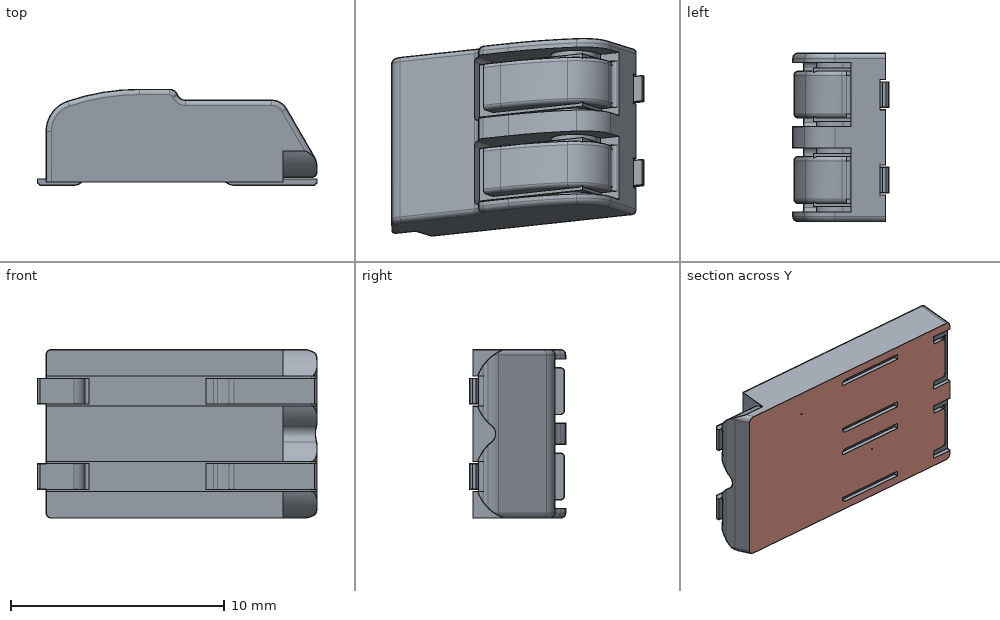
import cadquery as cq
import math


housing_height = 7.9
housing_left = -6.15
housing_right = 6.55
hump_top = 4.35
shoulder_top = 3.84
hump_flat_start = -1.76
front_radius = 1.5
crown_radius = 10.5
slope_angle = math.radians(60)
step_angle = math.radians(65)
step_x = -0.11
step_radius = 0.4
shoulder_corner_x = 4.89
shoulder_radius = 0.8
toe_radius = 1.0
edge_fillet = 0.25

nose_start = 4.96
nose_bottom = 0.22
nose_fillet = 0.25
lobe_radius = 2.08
lobe_bottom = 0.1
valley_radius = 0.48

cell_pitch = 4.0
cell_centres = (-cell_pitch / 2, cell_pitch / 2)

pocket_width = 3.0
pocket_floor = 1.62
pocket_end = 0.38
pocket_fillet = 0.2

lever_width = 2.2
lever_front = -5.85
lever_end = -0.36
lever_top = 4.29
lever_front_radius = 1.8
lever_flat_start = -1.3
lever_fillet = 0.2
hub_radius = 2.25 / 2
hub_centre = (-4.05, 2.115)
hub_foot_top = 1.99
core_width = 2.5
core_front = -5.2
core_top = 3.37

groove_width = 1.4
groove_depth = 0.25
terminal_width = 1.2
terminal_thickness = 0.3
pad_bottom = -0.15
terminal_half_length = 6.55
terminal_chamfer = 0.12
strap_bottom = groove_depth - 0.01
left_pad_end = -4.85
left_ramp_end = -4.33
left_strap_end = -4.14
right_strap_start = 1.34
right_strap_end = 1.71
right_ramp_start = 1.88
right_pad_start = 2.66
right_ramp_angle = math.radians(28)


def box(x_range, y_range, height, z_centre=0.0):
    """Box between two X and two Y limits, centred on z_centre."""
    length = x_range[1] - x_range[0]
    depth = y_range[1] - y_range[0]
    centre = (sum(x_range) / 2, sum(y_range) / 2, z_centre)
    return cq.Workplane("XY").box(length, depth, height).translate(centre)


def crowned_outline(bottom, front, top, corner_radius, flat_start):
    """Open outline: front wall, corner arc and a large crown arc, all tangent, ending on the flat top."""
    corner_x = front + corner_radius
    crown_y = top - crown_radius
    run = flat_start - corner_x
    reach = crown_radius - corner_radius
    corner_y = crown_y + math.sqrt(reach**2 - run**2)
    joint_angle = math.atan2(corner_y - crown_y, -run)
    joint = (
        flat_start + crown_radius * math.cos(joint_angle),
        crown_y + crown_radius * math.sin(joint_angle),
    )
    return (
        cq.Workplane("XY")
        .moveTo(front, bottom)
        .lineTo(front, corner_y)
        .radiusArc(joint, corner_radius)
        .radiusArc((flat_start, top), crown_radius)
    )


def round_upright(body, x, y, radius):
    """Fillet the edge along Z that passes nearest to (x, y)."""
    edge = body.edges("|Z").edges(cq.selectors.NearestToPointSelector((x, y, 0)))
    return edge.fillet(radius)


def make_housing():
    """Solid housing with all outline corners and both outer rims rounded."""
    step_end_x = step_x + (hump_top - shoulder_top) / math.tan(step_angle)
    toe_y = shoulder_top - (housing_right - shoulder_corner_x) * math.tan(slope_angle)
    outline = (
        crowned_outline(0, housing_left, hump_top, front_radius, hump_flat_start)
        .lineTo(step_x, hump_top)
        .lineTo(step_end_x, shoulder_top)
        .lineTo(shoulder_corner_x, shoulder_top)
        .lineTo(housing_right, toe_y)
        .lineTo(housing_right, nose_bottom)
        .lineTo(nose_start, nose_bottom)
        .lineTo(nose_start, 0)
        .close()
    )
    body = outline.extrude(housing_height / 2, both=True)
    body = round_upright(body, step_x, hump_top, step_radius)
    body = round_upright(body, step_end_x, shoulder_top, step_radius)
    body = round_upright(body, shoulder_corner_x, shoulder_top, shoulder_radius)
    body = round_upright(body, housing_right, toe_y, toe_radius)
    body = round_upright(body, housing_right, nose_bottom, nose_fillet)
    flat_middle = ((hump_flat_start + step_x) / 2, hump_top)
    for z in (-housing_height / 2, housing_height / 2):
        rim = cq.selectors.NearestToPointSelector((*flat_middle, z))
        body = body.edges(rim).fillet(edge_fillet)
    return body


def make_nose_cutter():
    """Space below the nose: two convex lobes joined by a concave valley, seen along X."""
    half = housing_height / 2
    lobe_z = cell_pitch / 2
    lobe_y = lobe_bottom + lobe_radius
    reach = lobe_radius + valley_radius
    valley_y = lobe_y - math.sqrt(reach**2 - lobe_z**2)
    joint_z = lobe_z * valley_radius / reach
    joint_y = valley_y + (lobe_y - valley_y) * valley_radius / reach
    rim_y = lobe_y - math.sqrt(lobe_radius**2 - (half - lobe_z) ** 2)
    clear_y = -1.0
    return (
        cq.Workplane("YZ", origin=(nose_start, 0, 0))
        .moveTo(clear_y, -half)
        .lineTo(rim_y, -half)
        .threePointArc((lobe_bottom, -lobe_z), (joint_y, -joint_z))
        .threePointArc((valley_y + valley_radius, 0), (joint_y, joint_z))
        .threePointArc((lobe_bottom, lobe_z), (rim_y, half))
        .lineTo(clear_y, half)
        .close()
        .extrude(housing_right - nose_start)
    )


def make_pocket(z):
    """Lever pocket, open to the front and the top, with rounded corners at its far end."""
    pocket = box((housing_left, pocket_end), (pocket_floor, hump_top), pocket_width, z)
    return pocket.edges(">X and |Y").fillet(pocket_fillet)


def make_lever(z):
    """Rounded lever with its core and the pivot hub, standing on the pocket floor."""
    lever = (
        crowned_outline(pocket_floor, lever_front, lever_top, lever_front_radius, lever_flat_start)
        .lineTo(lever_end, lever_top)
        .lineTo(lever_end, pocket_floor)
        .close()
        .extrude(lever_width / 2, both=True)
    )
    foot = (
        cq.Workplane("XY")
        .moveTo(lever_front - lever_fillet, pocket_floor)
        .radiusArc((lever_front, pocket_floor + lever_fillet), -lever_fillet)
        .lineTo(lever_front, pocket_floor)
        .close()
        .extrude(lever_width / 2, both=True)
    )
    for side in (-lever_width / 2, lever_width / 2):
        rim = cq.selectors.NearestToPointSelector((lever_flat_start, lever_top, side))
        lever = lever.edges(rim).fillet(lever_fillet)
    lever = lever.union(foot).translate((0, 0, z))
    core = box((core_front, pocket_end), (pocket_floor, core_top), core_width, z)
    hub = cq.Workplane("XY").center(*hub_centre).circle(hub_radius).extrude(pocket_width / 2, both=True)
    foot_half = math.sqrt(hub_radius**2 - (hub_centre[1] - hub_foot_top) ** 2)
    hub_x = (hub_centre[0] - foot_half, hub_centre[0] + foot_half)
    hub_foot = box(hub_x, (pocket_floor, hub_foot_top), pocket_width, z)
    return lever.union(core).union(hub.translate((0, 0, z))).union(hub_foot)


def make_groove(z):
    """Groove along the mounting face that takes the terminal, flared where it leaves the nose."""
    return (
        cq.Workplane("XY")
        .moveTo(housing_left, pad_bottom)
        .lineTo(housing_left, groove_depth)
        .lineTo(housing_right - nose_fillet, groove_depth)
        .radiusArc((housing_right, groove_depth + nose_fillet), -nose_fillet)
        .lineTo(housing_right, pad_bottom)
        .close()
        .extrude(groove_width / 2, both=True)
        .translate((0, 0, z))
    )


def make_terminal(z):
    """Flat strip whose two pads hang below the housing and ramp up into the groove floor."""
    pad_top = pad_bottom + terminal_thickness
    strap_top = strap_bottom + terminal_thickness
    end = terminal_half_length
    left_run = left_ramp_end - left_pad_end
    left_rise = strap_bottom - pad_bottom
    left_bend_radius = (left_run**2 + left_rise**2) / (2 * left_rise)
    inner_bend_radius = (right_ramp_start - right_strap_end) / math.sin(right_ramp_angle)
    ramp_start_y = strap_bottom - inner_bend_radius * (1 - math.cos(right_ramp_angle))
    crease_x = right_ramp_start + (ramp_start_y - pad_bottom) / math.tan(right_ramp_angle)
    bend_tangent = right_pad_start - crease_x
    outer_bend_radius = bend_tangent / math.tan(right_ramp_angle / 2)
    ramp_end = (
        crease_x - bend_tangent * math.cos(right_ramp_angle),
        pad_bottom + bend_tangent * math.sin(right_ramp_angle),
    )
    return (
        cq.Workplane("XY")
        .moveTo(-end, pad_top)
        .lineTo(-end, pad_bottom + terminal_chamfer)
        .lineTo(-end + terminal_chamfer, pad_bottom)
        .lineTo(left_pad_end, pad_bottom)
        .radiusArc((left_ramp_end, strap_bottom), -left_bend_radius)
        .lineTo(left_strap_end, strap_bottom)
        .lineTo(left_strap_end, strap_top)
        .lineTo(left_ramp_end, strap_top)
        .lineTo(left_pad_end, pad_top)
        .close()
        .moveTo(end, pad_top)
        .lineTo(end, pad_bottom + terminal_chamfer)
        .lineTo(end - terminal_chamfer, pad_bottom)
        .lineTo(right_pad_start, pad_bottom)
        .radiusArc(ramp_end, outer_bend_radius)
        .lineTo(right_ramp_start, ramp_start_y)
        .radiusArc((right_strap_end, strap_bottom), -inner_bend_radius)
        .lineTo(right_strap_start, strap_bottom)
        .lineTo(right_strap_start, strap_top)
        .lineTo(right_ramp_start, strap_top)
        .lineTo(right_pad_start, pad_top)
        .close()
        .extrude(terminal_width / 2, both=True)
        .translate((0, 0, z))
    )


result = make_housing().cut(make_nose_cutter())
for cell_z in cell_centres:
    result = result.cut(make_pocket(cell_z)).cut(make_groove(cell_z))
    result = result.union(make_lever(cell_z)).union(make_terminal(cell_z))